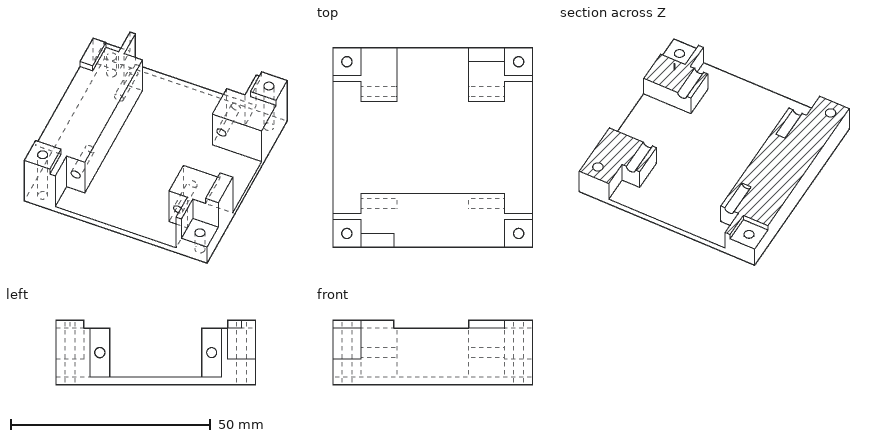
import cadquery as cq

side = 50.0
half = side / 2
floor_thickness = 2.0

total_height = 16.2
stop_height = 2.0
block_top = total_height - stop_height
low_corner_top = 6.5

corner_size = 7.0
wall_thickness = 1.5
wall_inner = corner_size + wall_thickness
block_overhang = 5.0
block_depth = wall_inner + block_overhang
rear_block_width = 9.0
front_block_width = side - 2 * corner_size

stop_depth = 3.5
front_stop_length = 8.25

hole_diameter = 2.5
corner_hole_pitch = side - corner_size
side_hole_y = half - wall_inner - block_overhang / 2
side_hole_z = (floor_thickness + block_top) / 2
blind_hole_depth = rear_block_width


def edge_box(x_side, y_side, x_inset, x_size, y_inset, y_size, top, bottom=0.0):
    """Box measured inward from the plate edges on the given X and Y sides (-1 or +1)."""
    center_x = x_side * (half - x_inset - x_size / 2)
    center_y = y_side * (half - y_inset - y_size / 2)
    box = cq.Workplane("XY").box(x_size, y_size, top - bottom, centered=(True, True, False))
    return box.translate((center_x, center_y, bottom))


def corner(x_side, y_side):
    """Corner post with its inner wall; the posts on one diagonal are cut low."""
    is_low = x_side == y_side
    post_top = low_corner_top if is_low else total_height
    post = edge_box(x_side, y_side, 0, corner_size, 0, corner_size, post_top)
    wall = edge_box(x_side, y_side, 0, corner_size, corner_size, wall_thickness, block_top)
    return post.union(wall)


def side_hole(start_x, y, length):
    """Cylinder along +X at the side hole height."""
    hole = cq.Workplane("YZ").circle(hole_diameter / 2).extrude(length)
    return hole.translate((start_x, y, side_hole_z))


body = cq.Workplane("XY").box(side, side, floor_thickness, centered=(True, True, False))

for x_side in (-1, 1):
    for y_side in (-1, 1):
        body = body.union(corner(x_side, y_side))
    body = body.union(edge_box(x_side, 1, corner_size, rear_block_width, 0, block_depth, block_top))

body = body.union(edge_box(-1, -1, corner_size, front_block_width, 0, block_depth, block_top))

body = body.union(
    edge_box(-1, -1, corner_size, front_stop_length, 0, stop_depth, total_height, block_top)
)
body = body.union(
    edge_box(1, 1, corner_size, rear_block_width, 0, stop_depth, total_height, block_top)
)

corner_holes = (
    cq.Workplane("XY")
    .rarray(corner_hole_pitch, corner_hole_pitch, 2, 2)
    .circle(hole_diameter / 2)
    .extrude(total_height)
)
body = body.cut(corner_holes)

block_end_x = half - corner_size
body = body.cut(side_hole(-half, side_hole_y, side))
body = body.cut(side_hole(-block_end_x, -side_hole_y, blind_hole_depth))
body = body.cut(side_hole(block_end_x - blind_hole_depth, -side_hole_y, blind_hole_depth))

result = body